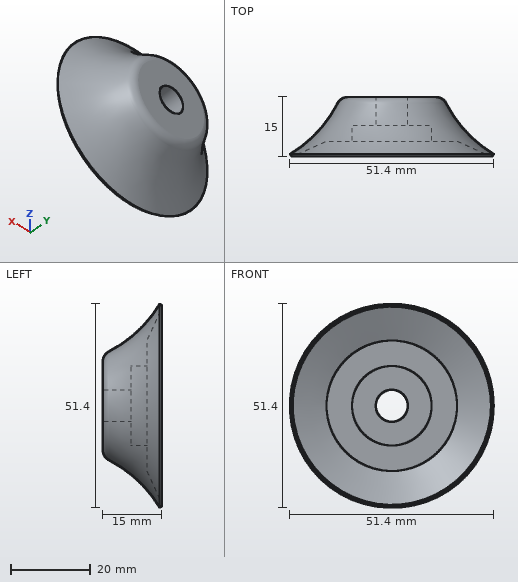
import cadquery as cq
import math

height = 15.0
rim_radius = 25.7
rim_edge_y = 0.6
rim_face_outer = 25.25
rim_face_inner = 25.0

shoulder_radius = 13.8
shoulder_y = 13.3
flank_mid_radius = 18.65
flank_mid_y = 6.35
top_radius = 11.3

floor_radius = 16.45
floor_y = 3.85
counterbore_radius = 10.05
counterbore_y = 7.85
hole_radius = 4.0

shoulder_bulge = 0.4
shoulder_run = shoulder_radius - top_radius
shoulder_rise = height - shoulder_y
shoulder_chord = math.hypot(shoulder_run, shoulder_rise)
shoulder_mid = (
    (top_radius + shoulder_radius) / 2 + shoulder_bulge * shoulder_rise / shoulder_chord,
    (height + shoulder_y) / 2 + shoulder_bulge * shoulder_run / shoulder_chord,
)

half_section = (
    cq.Workplane("XY")
    .moveTo(rim_face_inner, 0)
    .lineTo(rim_face_outer, 0)
    .lineTo(rim_radius, rim_edge_y)
    .threePointArc((flank_mid_radius, flank_mid_y), (shoulder_radius, shoulder_y))
    .threePointArc(shoulder_mid, (top_radius, height))
    .lineTo(hole_radius, height)
    .lineTo(hole_radius, counterbore_y)
    .lineTo(counterbore_radius, counterbore_y)
    .lineTo(counterbore_radius, floor_y)
    .lineTo(floor_radius, floor_y)
    .close()
)

result = half_section.revolve(360, (0, 0, 0), (0, 1, 0))